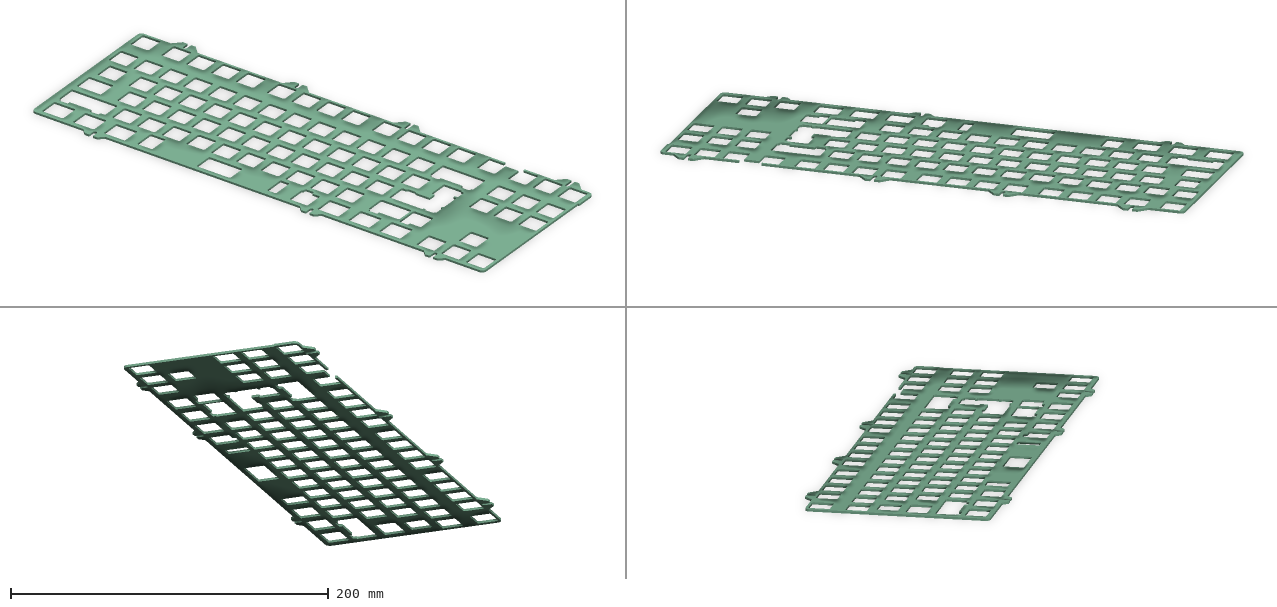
import cadquery as cq


THICKNESS = 1.5
FIELD_WIDTH = 347.5
FIELD_UNITS = 18.25
UNIT = FIELD_WIDTH / FIELD_UNITS
SWITCH = 14.0
KEY_RADIUS = 0.95

OVERALL_WIDTH = 348.5
PLATE_WIDTH = 347.5
PLATE_HEIGHT = 119.0
LEFT_MARGIN = 0.52
BOTTOM_MARGIN = 0.75
CORNER_RADIUS = 3.0
SIDE_STEP = OVERALL_WIDTH - PLATE_WIDTH

plate_left = -LEFT_MARGIN
plate_right = plate_left + PLATE_WIDTH
plate_bottom = -UNIT / 2 - BOTTOM_MARGIN
plate_top = plate_bottom + PLATE_HEIGHT

TOP_TAB_HEIGHT = 5.5
TOP_TAB_BASE = 20.5
TOP_TAB_TIP = 9.8
SHALLOW_SLOT = 6.0
DEEP_SLOT = 7.5
TOP_TABS = [(1.75, SHALLOW_SLOT), (6.25, SHALLOW_SLOT), (10.75, DEEP_SLOT), (17.25, DEEP_SLOT)]
BOTTOM_TAB_HEIGHT = 3.5
BOTTOM_TAB_BASE = 16.7
BOTTOM_TAB_TIP = 9.8
BOTTOM_SLOT = 5.5
BOTTOM_TABS = [(2.5, BOTTOM_SLOT), (11.25, BOTTOM_SLOT), (16.25, BOTTOM_SLOT)]
TAB_SLOT_WIDTH = 2.8
UP = 1
DOWN = -1

GAP_LEFT = 280.3
GAP_RIGHT = 295.3
GAP_DEPTH = 4.0

STAB_WIDTH = 7.0
STAB_SPACING = 12.0
STAB_NEAR = SWITCH / 2
STAB_FAR = 9.0
ENTER_STAB_FAR = 8.0
SPACE_STAB_NEAR = 6.0

BOTTOM_ROW = 0
SHIFT_ROW = 1
HOME_ROW = 2
TAB_ROW = 3
NUMBER_ROW = 4
FUNCTION_ROW = 5.25

BACKSPACE = 14
ENTER = 13.875
LEFT_SHIFT = 1.125
RIGHT_SHIFT = 13.625
TALL_ENTER = (14.375, (TAB_ROW + HOME_ROW) / 2)
SPACE_BARS = [(6.875, 2.625), (7.5, 3)]

CLUSTER = [15.75, 16.75, 17.75]


def run(first, count):
    """Centres of neighbouring single-unit keys."""
    return [first + i for i in range(count)]


SWITCHES = {
    FUNCTION_ROW: [0.5] + run(1.75, 4) + run(6, 4) + run(10.25, 4) + [14.5] + CLUSTER,
    NUMBER_ROW: run(0.5, 13) + [13.5, BACKSPACE, 14.5] + CLUSTER,
    TAB_ROW: [0.75] + run(2, 12) + [14.25] + CLUSTER,
    HOME_ROW: [0.625, 0.875] + run(2.25, 11) + [13.25, ENTER],
    SHIFT_ROW: [0.625, LEFT_SHIFT, 1.75] + run(2.75, 10) + [13.125, RIGHT_SHIFT, 14.5, 16.75],
    BOTTOM_ROW: (
        [0.625, 0.75, 1.875, 2, 3.125, 3.25]
        + [centre for centre, _ in SPACE_BARS]
        + [10.625, 11.75, 11.875, 13, 13.125, 14.25, 14.375]
        + CLUSTER
    ),
}


def box(left, bottom, right, top):
    """Block through the full plate thickness."""
    block = cq.Workplane("XY").box(right - left, top - bottom, THICKNESS, centered=False)
    return block.translate((left, bottom, 0))


def tab(unit, edge, direction, base, tip, height):
    """Tapered tab standing on a plate edge and rooted a little inside it."""
    x = unit * UNIT
    end = edge + direction * height
    root = edge - direction * BOTTOM_MARGIN
    points = [
        (x - base / 2, root),
        (x - base / 2, edge),
        (x - tip / 2, end),
        (x + tip / 2, end),
        (x + base / 2, edge),
        (x + base / 2, root),
    ]
    return cq.Workplane("XY").polyline(points).close().extrude(THICKNESS)


def tab_slot(unit, tip, direction, depth):
    """Round-ended slot cut into a tab from its tip."""
    length = depth + TAB_SLOT_WIDTH
    middle = tip + direction * (TAB_SLOT_WIDTH - depth) / 2
    slot = cq.Workplane("XY").slot2D(length, TAB_SLOT_WIDTH, 90).extrude(THICKNESS)
    return slot.translate((unit * UNIT, middle, 0))


def rounded_opening(left, bottom, right, top):
    """Key opening with its small corner radius."""
    return box(left, bottom, right, top).edges("|Z").fillet(KEY_RADIUS)


def switch(unit, row):
    """Square switch opening centred on its key."""
    half = SWITCH / 2
    x = unit * UNIT
    y = row * UNIT
    return rounded_opening(x - half, y - half, x + half, y + half)


def stab_pair(unit, row, spacing, up, down):
    """The two upright stabilizer slots of a wide key, reaching up and down from the row's centre line."""
    half = STAB_WIDTH / 2
    y = row * UNIT
    slots = []
    for x in (unit * UNIT - spacing, unit * UNIT + spacing):
        slots.append(rounded_opening(x - half, y - down, x + half, y + up))
    return slots


def tall_enter():
    """Switch of the tall key, with stabilizer slots lying sideways above and below it."""
    half = STAB_WIDTH / 2
    x, middle = (value * UNIT for value in TALL_ENTER)
    parts = [switch(*TALL_ENTER)]
    for y in (middle - STAB_SPACING, middle + STAB_SPACING):
        parts.append(rounded_opening(x - STAB_NEAR, y - half, x + STAB_NEAR, y + half))
    parts.append(box(x - SWITCH / 2, middle - STAB_SPACING, x, middle))
    return parts


step_bottom = FUNCTION_ROW * UNIT - SWITCH / 2
plate = box(plate_left, plate_bottom, plate_right, plate_top)
plate = plate.union(box(plate_right - UNIT, step_bottom, plate_right + SIDE_STEP, plate_top))
plate = plate.edges("|Z and (<X or (>X and >Y))").fillet(CORNER_RADIUS)
plate = plate.edges("|Z and <Y").edges(">X").fillet(CORNER_RADIUS)

openings = []
for unit, depth in TOP_TABS:
    plate = plate.union(tab(unit, plate_top, UP, TOP_TAB_BASE, TOP_TAB_TIP, TOP_TAB_HEIGHT))
    openings.append(tab_slot(unit, plate_top + TOP_TAB_HEIGHT, UP, depth))
for unit, depth in BOTTOM_TABS:
    plate = plate.union(tab(unit, plate_bottom, DOWN, BOTTOM_TAB_BASE, BOTTOM_TAB_TIP, BOTTOM_TAB_HEIGHT))
    openings.append(tab_slot(unit, plate_bottom - BOTTOM_TAB_HEIGHT, DOWN, depth))

openings.append(box(GAP_LEFT, plate_top - GAP_DEPTH, GAP_RIGHT, plate_top))

for row, units in SWITCHES.items():
    openings += [switch(unit, row) for unit in units]
openings += tall_enter()

openings += stab_pair(BACKSPACE, NUMBER_ROW, STAB_SPACING, STAB_NEAR, STAB_FAR)
openings += stab_pair(ENTER, HOME_ROW, STAB_SPACING, ENTER_STAB_FAR, STAB_NEAR)
for shift in (LEFT_SHIFT, RIGHT_SHIFT):
    openings += stab_pair(shift, SHIFT_ROW, STAB_SPACING, STAB_NEAR, STAB_FAR)
for centre, spacing in SPACE_BARS:
    openings += stab_pair(centre, BOTTOM_ROW, spacing * UNIT, STAB_FAR, SPACE_STAB_NEAR)

pierced = plate.val().cut(*[opening.val() for opening in openings])
result = cq.Workplane(pierced.Solids()[0])